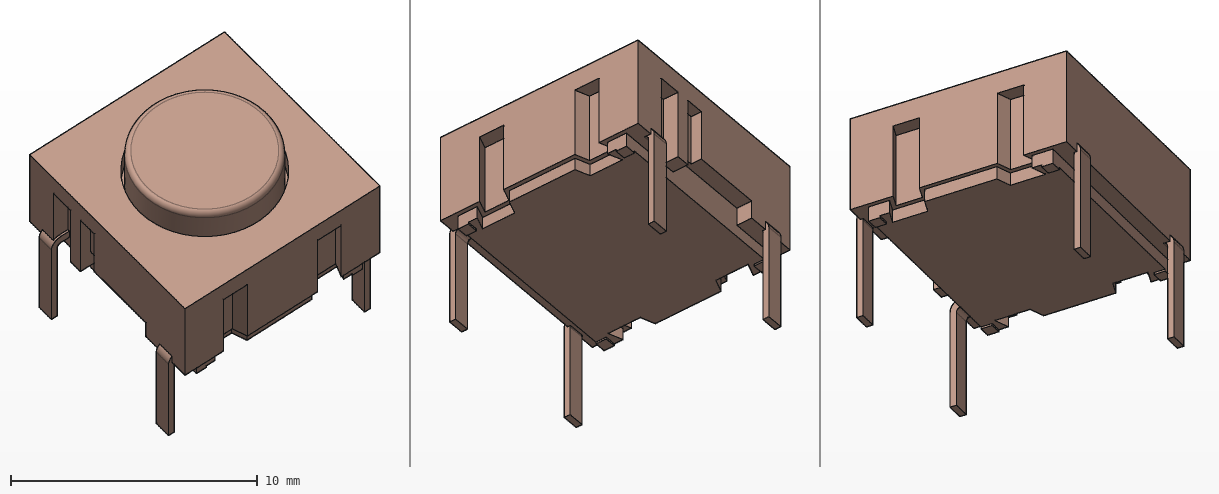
import cadquery as cq
import math


housing_side = 10.1
housing_height = 4.4
half_side = housing_side / 2

cap_diameter = 6.5
cap_rise = 1.3
cap_edge_radius = 0.25
recess_diameter = 6.8
recess_depth = 1.0

base_length = 9.71
base_width = 8.6
base_height = 0.6
foot_length = 0.54
foot_width = 0.52
foot_height = 0.09

slot_top = 3.4
deep_slot_left = -3.5
deep_slot_right = -2.4
shallow_slot_left = -1.75
shallow_slot_right = -0.85
shallow_slot_depth = 0.52
notch_right = 2.5
notch_height = 0.9
base_setback = (housing_side - base_width) / 2

side_slot_inner = 1.82
side_slot_outer = 3.04
side_slot_depth = 0.67
side_slot_angle = 20.0
base_slot_clearance = 0.21
base_slot_depth = side_slot_depth + base_slot_clearance

pin_width = 0.81
pin_thickness = 0.3
pin_pitch = 7.61
pin_reach = 5.23
pin_length = 4.7
bend_outer_radius = 0.5
bend_inner_radius = 0.2
lead_thickness = 0.41
lead_end = 3.77
lead_bottom_left = 0.0
lead_bottom_right = 0.13


def block(x_min, x_max, y_min, y_max, z_min, z_max):
    size = (x_max - x_min, y_max - y_min, z_max - z_min)
    return cq.Workplane("XY").box(*size, centered=False).translate((x_min, y_min, z_min))


def make_base():
    plate = cq.Workplane("XY").rect(base_length, base_width).extrude(-base_height)
    feet = (
        cq.Workplane("XY")
        .workplane(offset=-base_height)
        .rect(base_length - foot_length, base_width - foot_width, forConstruction=True)
        .vertices()
        .rect(foot_length, foot_width)
        .extrude(-foot_height)
    )
    return plate.union(feet)


def make_cap():
    return (
        cq.Workplane("XY")
        .workplane(offset=housing_height - recess_depth)
        .circle(cap_diameter / 2)
        .extrude(recess_depth + cap_rise)
        .faces(">Z")
        .edges()
        .fillet(cap_edge_radius)
    )


def cut_front_slots(body):
    front = -half_side
    deep_floor = front + base_setback
    shallow_floor = front + shallow_slot_depth
    deep_slot = block(deep_slot_left, deep_slot_right, front, deep_floor, 0, slot_top)
    shallow_slot = block(shallow_slot_left, shallow_slot_right, front, shallow_floor, 0, slot_top)
    notch = block(shallow_slot_left, notch_right, front, deep_floor, 0, notch_height)
    return body.cut(deep_slot).cut(shallow_slot).cut(notch)


def angled_slot(clearance, depth, z_min, z_max):
    """Slot in the -X wall at +Y, its two side walls parallel and sloping outward with depth."""
    drift = depth * math.tan(math.radians(side_slot_angle))
    inner = side_slot_inner - clearance
    outer = side_slot_outer + clearance
    return (
        cq.Workplane("XY")
        .workplane(offset=z_min)
        .moveTo(-half_side, inner)
        .lineTo(-half_side, outer)
        .lineTo(-half_side + depth, outer + drift)
        .lineTo(-half_side + depth, inner + drift)
        .close()
        .extrude(z_max - z_min)
    )


def cut_side_slots(solid, clearance, depth, z_min, z_max):
    slot = angled_slot(clearance, depth, z_min, z_max)
    pair = slot.union(slot.mirror("XZ"))
    return solid.cut(pair).cut(pair.mirror("YZ"))


def make_pin(x_center, lead_bottom):
    """Bent pin at the +Y wall: a lead into the housing, a rounded bend and a straight leg."""
    lead_top = lead_bottom + lead_thickness
    leg_inner = pin_reach - pin_thickness
    outer_mid = bend_outer_radius * (1 - math.sqrt(0.5))
    inner_mid = bend_inner_radius * (1 - math.sqrt(0.5))
    return (
        cq.Workplane("YZ")
        .workplane(offset=x_center - pin_width / 2)
        .moveTo(lead_end, lead_top)
        .lineTo(pin_reach - bend_outer_radius, lead_top)
        .threePointArc(
            (pin_reach - outer_mid, lead_top - outer_mid),
            (pin_reach, lead_top - bend_outer_radius),
        )
        .lineTo(pin_reach, -pin_length)
        .lineTo(leg_inner, -pin_length)
        .lineTo(leg_inner, lead_bottom - bend_inner_radius)
        .threePointArc(
            (leg_inner - inner_mid, lead_bottom - inner_mid),
            (leg_inner - bend_inner_radius, lead_bottom),
        )
        .lineTo(lead_end, lead_bottom)
        .close()
        .extrude(pin_width)
    )


housing = cq.Workplane("XY").rect(housing_side, housing_side).extrude(housing_height)
housing = housing.faces(">Z").workplane().hole(recess_diameter, recess_depth)
housing = cut_front_slots(housing)
housing = cut_side_slots(housing, 0, side_slot_depth, 0, slot_top)

base = make_base()
base = cut_side_slots(base, base_slot_clearance, base_slot_depth, -base_height, 0)

result = housing.union(base).union(make_cap())
for x_center, lead_bottom in ((-pin_pitch / 2, lead_bottom_left), (pin_pitch / 2, lead_bottom_right)):
    pin = make_pin(x_center, lead_bottom)
    result = result.union(pin).union(pin.mirror("XZ"))